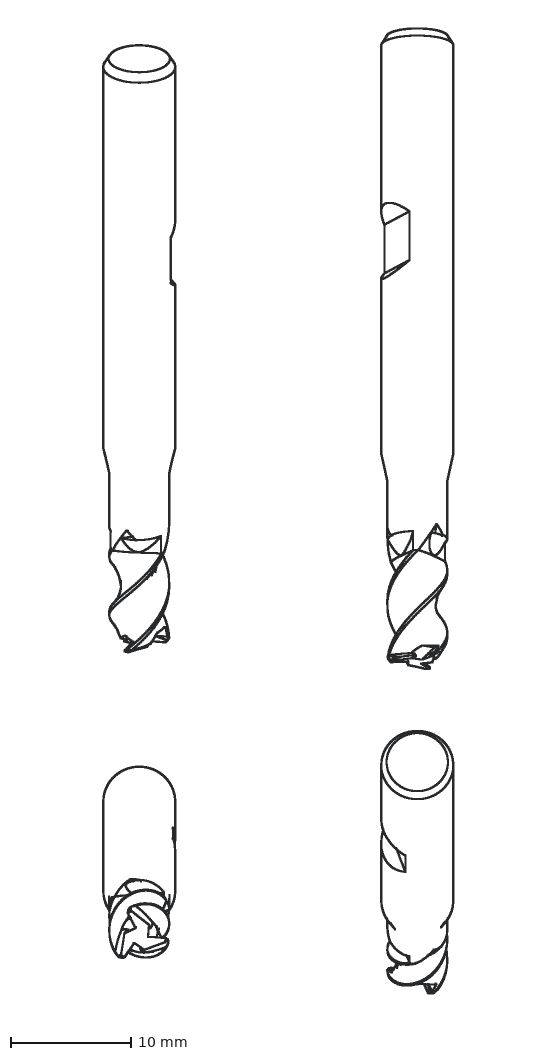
import cadquery as cq
import math

TOTAL_LENGTH = 54.0
SHANK_RADIUS = 3.0
SHANK_START = 18.0
CHAMFER_HEIGHT = 0.75
CHAMFER_WIDTH = 0.45

NECK_RADIUS = 2.5
NECK_START = 15.65

FLAT_DEPTH = 1.1
FLAT_LENGTH = 4.2
FLAT_CENTRE = 36.0

CUT_OVERRUN = 0.3

CUTTER_RADIUS = NECK_RADIUS
CUTTER_LENGTH = 9.0
TOOTH_COUNT = 3
TOOTH_PITCH = 360.0 / TOOTH_COUNT
HELIX_LEAD = 16.2
HELIX_TWIST = 360.0 * CUTTER_LENGTH / HELIX_LEAD
TIP_ANGLE = 65.5

LAND_ANGLE = 9.0
BACK_MID_RADIUS = 1.76
BACK_MID_ANGLE = -83.0
ROOT_RADIUS = 1.54
ROOT_ANGLE = -44.5
RAKE_MID_RADIUS = 1.75
RAKE_MID_ANGLE = -24.0
RAKE_TOP_RADIUS = 2.1
RAKE_TOP_ANGLE = -8.0

CORNER_CHAMFER = 0.3
DISH_DEPTH = 0.1
BEVEL_HEIGHT = 0.2
BEVEL_REACH = 0.4

GASH_HEIGHT = 1.05
GASH_FLOOR_START = 0.6
GASH_FLOOR_END = 1.5
GASH_REACH = 1.5
GASH_EDGE_GAP = 0.05
GASH_LEAN = 0.75
GASH_OVERRUN = 0.1

RUNOUT_TOP = 11.45
RUNOUT_RIM_RADIUS = NECK_RADIUS + 0.03
RUNOUT_TWIST_RATE = 15.7
RUNOUT_CONE_TOP = 10.65
RUNOUT_CONE_RADIUS = 1.5
APEX_ANGLE = 47.2
APEX_SIZE = 0.85


def polar(radius, degrees):
    """Point at this radius and direction from the axis."""
    angle = math.radians(degrees)
    return (radius * math.cos(angle), radius * math.sin(angle))


def add_flute(outline, edge, rim_radius):
    """Extend an outline from the land end of the tooth at this angle to the next tooth's edge."""
    next_edge = edge + TOOTH_PITCH
    return (
        outline
        .threePointArc(
            polar(BACK_MID_RADIUS, next_edge + BACK_MID_ANGLE),
            polar(ROOT_RADIUS, next_edge + ROOT_ANGLE),
        )
        .threePointArc(
            polar(RAKE_MID_RADIUS, next_edge + RAKE_MID_ANGLE),
            polar(RAKE_TOP_RADIUS, next_edge + RAKE_TOP_ANGLE),
        )
        .lineTo(*polar(rim_radius, next_edge))
    )


def cutter_section():
    """Cross-section at the cutting end: for each tooth a round land, then a flute."""
    outline = cq.Workplane("XY").moveTo(*polar(CUTTER_RADIUS, TIP_ANGLE))
    for tooth in range(TOOTH_COUNT):
        edge = TIP_ANGLE + tooth * TOOTH_PITCH
        outline = outline.threePointArc(
            polar(CUTTER_RADIUS, edge + LAND_ANGLE / 2),
            polar(CUTTER_RADIUS, edge + LAND_ANGLE),
        )
        outline = add_flute(outline, edge, CUTTER_RADIUS)
    return outline.close()


def flute_section(z, edge):
    """Cross-section of one flute's hollow, carried out past the neck surface."""
    outer_radius = NECK_RADIUS + CUT_OVERRUN
    outline = (
        cq.Workplane("XY", origin=(0, 0, z))
        .moveTo(*polar(outer_radius, edge + LAND_ANGLE))
        .lineTo(*polar(RUNOUT_RIM_RADIUS, edge + LAND_ANGLE))
    )
    return (
        add_flute(outline, edge, RUNOUT_RIM_RADIUS)
        .lineTo(*polar(outer_radius, edge + TOOTH_PITCH))
        .threePointArc(
            polar(outer_radius, edge + TOOTH_PITCH / 2),
            polar(outer_radius, edge + LAND_ANGLE),
        )
        .close()
    )


def make_gash(edge):
    """Notch under the rake face at the end of one tooth, laid out along +X and turned to the tooth."""
    run = CUTTER_RADIUS + CUT_OVERRUN
    wall_top = GASH_HEIGHT * GASH_LEAN - GASH_EDGE_GAP
    wall_bottom = -GASH_OVERRUN * GASH_LEAN - GASH_EDGE_GAP
    lean = cq.Workplane("YZ").polyline([
        (-GASH_REACH, -GASH_OVERRUN),
        (wall_bottom, -GASH_OVERRUN),
        (wall_top, GASH_HEIGHT),
        (-GASH_REACH, GASH_HEIGHT),
    ]).close().extrude(run)
    slope = cq.Workplane("XZ").polyline([
        (GASH_FLOOR_START, -GASH_OVERRUN),
        (run, -GASH_OVERRUN),
        (run, GASH_HEIGHT),
        (GASH_FLOOR_END, GASH_HEIGHT),
    ]).close().extrude(run, both=True)
    return lean.intersect(slope).rotate((0, 0, 0), (0, 0, 1), edge)


def make_end_bevel(edge):
    """45 degree wedge that bevels the end of one tooth along the chord of its back."""
    land_x, land_y = polar(CUTTER_RADIUS, edge + LAND_ANGLE)
    root_x, root_y = polar(ROOT_RADIUS, edge + TOOTH_PITCH + ROOT_ANGLE)
    along = cq.Vector(root_x - land_x, root_y - land_y, 0)
    across = cq.Plane(
        origin=(land_x, land_y, 0),
        xDir=(along.y, -along.x, 0),
        normal=along.toTuple(),
    )
    return (
        cq.Workplane(across)
        .polyline([
            (-BEVEL_HEIGHT - BEVEL_REACH, -BEVEL_REACH),
            (BEVEL_REACH, -BEVEL_REACH),
            (BEVEL_REACH, BEVEL_HEIGHT + BEVEL_REACH),
        ])
        .close().extrude(along.Length)
    )


def make_cutter():
    """Twisted cutter body with its end shaped and gashed."""
    cutter = cutter_section().twistExtrude(CUTTER_LENGTH, HELIX_TWIST)
    end_radius = CUTTER_RADIUS - CORNER_CHAMFER
    envelope = cq.Workplane("XZ").polyline([
        (0, DISH_DEPTH),
        (end_radius, 0),
        (CUTTER_RADIUS + CUT_OVERRUN, CORNER_CHAMFER + CUT_OVERRUN),
        (CUTTER_RADIUS + CUT_OVERRUN, CUTTER_LENGTH + CUT_OVERRUN),
        (0, CUTTER_LENGTH + CUT_OVERRUN),
    ]).close().revolve(360, (0, 0), (0, 1))
    cutter = cutter.intersect(envelope)
    for tooth in range(TOOTH_COUNT):
        edge = TIP_ANGLE + tooth * TOOTH_PITCH
        cutter = cutter.cut(make_end_bevel(edge)).cut(make_gash(edge))
    return cutter


def make_runout(edge):
    """Flute end in the neck: the back keeps turning, the rake side runs straight up, a cone ends it."""
    start = CUTTER_LENGTH - CUT_OVERRUN
    height = RUNOUT_TOP - start
    start_turn = RUNOUT_TWIST_RATE * CUT_OVERRUN
    straight = flute_section(start, edge).extrude(height)
    twisted = flute_section(start, edge - start_turn).twistExtrude(height, RUNOUT_TWIST_RATE * height)
    core_start = start - CUT_OVERRUN
    core_top = RUNOUT_TOP + 2 * CUT_OVERRUN
    outer_radius = NECK_RADIUS + 2 * CUT_OVERRUN
    cone_slope = (RUNOUT_CONE_TOP - CUTTER_LENGTH) / (NECK_RADIUS - RUNOUT_CONE_RADIUS)
    core = cq.Workplane("XZ").polyline([
        (0, core_start),
        (RUNOUT_CONE_RADIUS, core_start),
        (RUNOUT_CONE_RADIUS, CUTTER_LENGTH),
        (outer_radius, CUTTER_LENGTH + (outer_radius - RUNOUT_CONE_RADIUS) * cone_slope),
        (outer_radius, core_top),
        (0, core_top),
    ]).close().revolve(360, (0, 0), (0, 1))
    outward = polar(1, edge + APEX_ANGLE)
    apex = (
        cq.Workplane(cq.Plane(
            origin=(0, 0, RUNOUT_TOP),
            xDir=(-outward[1], outward[0], 0),
            normal=(*outward, 0),
        ))
        .polyline([(0, 0), (APEX_SIZE, -APEX_SIZE), (-APEX_SIZE, -APEX_SIZE)])
        .close().extrude(outer_radius)
    )
    return straight.intersect(twisted).cut(core.cut(apex))


def make_shank():
    """Chamfered shank tapering to the neck, with a clamping flat and the flute run-outs."""
    shank = cq.Workplane("XZ").polyline([
        (0, CUTTER_LENGTH),
        (NECK_RADIUS, CUTTER_LENGTH),
        (NECK_RADIUS, NECK_START),
        (SHANK_RADIUS, SHANK_START),
        (SHANK_RADIUS, TOTAL_LENGTH - CHAMFER_HEIGHT),
        (SHANK_RADIUS - CHAMFER_WIDTH, TOTAL_LENGTH),
        (0, TOTAL_LENGTH),
    ]).close().revolve(360, (0, 0), (0, 1))
    floor = SHANK_RADIUS - FLAT_DEPTH
    half_floor = FLAT_LENGTH / 2
    half_mouth = half_floor + FLAT_DEPTH
    flat_cut = cq.Workplane("YZ").polyline([
        (floor, FLAT_CENTRE - half_floor),
        (floor, FLAT_CENTRE + half_floor),
        (SHANK_RADIUS, FLAT_CENTRE + half_mouth),
        (SHANK_RADIUS, FLAT_CENTRE - half_mouth),
    ]).close().extrude(SHANK_RADIUS, both=True)
    shank = shank.cut(flat_cut)
    for tooth in range(TOOTH_COUNT):
        shank = shank.cut(make_runout(TIP_ANGLE + HELIX_TWIST + tooth * TOOTH_PITCH))
    return shank


shank = make_shank()
cutter = make_cutter()
result = cq.Compound.makeCompound([shank.val(), cutter.val()])